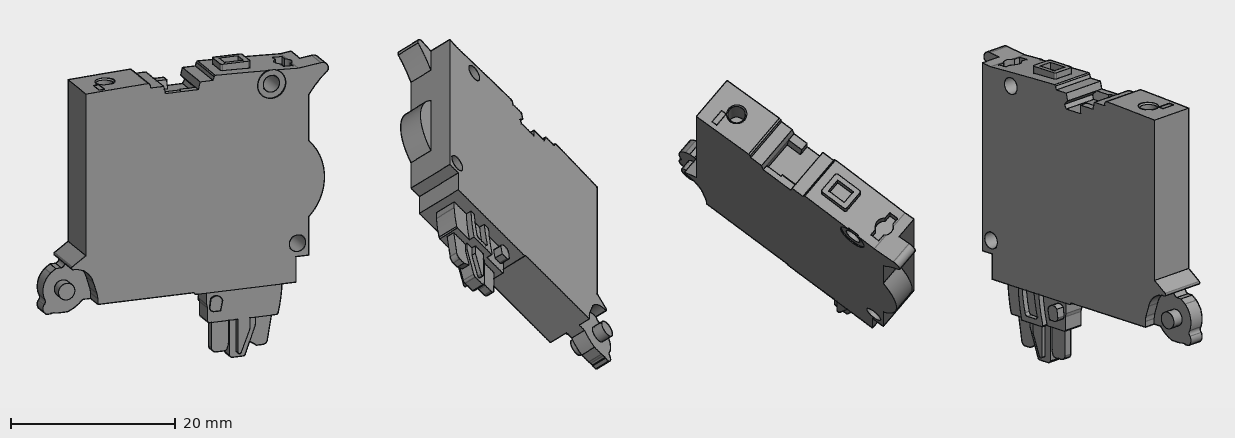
import cadquery as cq


WIDTH = 6.0
BACK_Y = 29.05
ROOF_Z = 27.37
ROOF_BACK = (27.65, 27.37)
RIDGE_Z = 27.75
FRONT_FLOOR_Z = 0.245
STEP_Z = 27.15
CHANNEL_Z = 26.2
CHANNEL_FRONT_Y = 10.4
CHANNEL_BACK_Y = 14.65

RECESS_Z = 25.1
LEFT_BLOCK_WIDTH = 1.33
RIGHT_BLOCK_WIDTH = 1.2
BLOCK_TAPER = 0.25
LEFT_BLOCK_BACK_Y = 12.45
RIGHT_BLOCK_FRONT_Y = 12.6
RIGHT_WALL = 0.7

CROSS_HOLE_R = 1.05
UPPER_HOLE = (24.2, 25.75)
LOWER_HOLE = (27.55, 4.97)
SEAT_R = 1.82
SEAT_DEPTH = 0.15

SLOT_CENTER = (WIDTH / 2, 26.8)
SLOT_SIZE = (3.7, 1.2)
SLOT_HOLE_R = 1.1
SLOT_DEPTH = 1.05

TEST_HOLE = (2.77, 3.7)
TEST_HOLE_R = 1.05
TEST_MOUTH_R = 1.25
TEST_MOUTH_Z = 27.55
TEST_DEPTH = 3.8
MARK_CENTER = (4.45, 2.3)
MARK_SIZE = (1.85, 0.72)
MARK_DEPTH = 0.1

TAB_X = 2.92
TAB_END_Y = 31.55
TAB_TOP = (30.6, 27.7)
TAB_SLOPE = (TAB_TOP[1] - ROOF_BACK[1]) / (TAB_TOP[0] - ROOF_BACK[0])
ROOF_BACK_EDGE_Z = ROOF_BACK[1] + TAB_SLOPE * (BACK_Y - ROOF_BACK[0])
DISC_CENTER = (24.3, 13.05)
DISC_R = 6.8

TONGUE_X = 1.55
TONGUE_WIDTH = 1.97
TONGUE_END_Y = -4.65
TONGUE_ROOT_Y = 3.05
TONGUE_ROOT_Z = 5.7
PIVOT = (-2.1, 2.0)
PIVOT_R = 1.05
PIVOT_X = 0.1
PIVOT_LENGTH = 4.82

BUTTON_CENTER = (WIDTH / 2, 20.08)
BUTTON_SIZE = (3.0, 3.85)
BUTTON_WINDOW = (1.8, 2.43)
BUTTON_CORNER_R = 0.23
BUTTON_TOP_Z = 28.5
BUTTON_SEAT_Z = 27.15
BUTTON_WINDOW_DEPTH = 0.95

PLUG_X = 1.55
PLUG_WIDTH = 2.75
PLUG_RIGHT_X = PLUG_X + PLUG_WIDTH
SHROUD_Z = -4.45
STRIP_X = 0.85
STRIP_POCKET_DEPTH = 0.72
LUG_X = 0.45
LUG_LENGTH = 4.02
MIDDLE_PRONG_X = 2.1
MIDDLE_PRONG_WIDTH = 1.6
OUTER_PRONG_X = 2.35
OUTER_PRONG_WIDTH = 1.02
PLUG_BOTTOM_Z = BUTTON_TOP_Z - 37.95


def side_outline(start_x, first_point):
    """Start a side outline on the plane X = start_x."""
    return cq.Workplane("YZ").workplane(offset=start_x).moveTo(*first_point)


def cross_cylinder(start_x, length, center, radius):
    return side_outline(start_x, center).circle(radius).extrude(length)


def roof_prism(center, size, top_z, depth):
    """Rectangular prism hanging down from top_z."""
    plane = cq.Workplane("XY").workplane(offset=top_z).center(*center)
    return plane.rect(*size).extrude(-depth)


def make_shell():
    """Full-width housing block with its roof channel and front nose."""
    return (
        side_outline(0, (27.37, 0))
        .lineTo(14.27, 0)
        .lineTo(14.1, FRONT_FLOOR_Z)
        .lineTo(1.55, FRONT_FLOOR_Z)
        .lineTo(1.55, 1.0)
        .threePointArc((1.5, 1.33), (1.45, 1.67))
        .lineTo(1.0, 3.1)
        .threePointArc((0.15, 4.45), (-1.7, 5.1))
        .threePointArc((-1.85, 5.28), (-1.8, 5.45))
        .lineTo(0, 6.68)
        .lineTo(0, ROOF_Z)
        .threePointArc((3.8, 27.55), (8.12, RIDGE_Z))
        .lineTo(8.35, 27.6)
        .lineTo(8.45, STEP_Z)
        .lineTo(10.15, STEP_Z)
        .lineTo(CHANNEL_FRONT_Y, CHANNEL_Z)
        .lineTo(CHANNEL_BACK_Y, CHANNEL_Z)
        .lineTo(14.88, STEP_Z)
        .lineTo(16.55, STEP_Z)
        .lineTo(16.7, 27.6)
        .lineTo(16.85, RIDGE_Z)
        .threePointArc((22, 27.6), ROOF_BACK)
        .lineTo(BACK_Y, ROOF_BACK_EDGE_Z)
        .lineTo(BACK_Y, 3.25)
        .lineTo(27.37, 3.25)
        .close()
        .extrude(WIDTH)
    )


def make_recess():
    """Recess below the roof channel, less the tapered blocks standing in it."""
    recess = (
        side_outline(0, (CHANNEL_FRONT_Y, CHANNEL_Z))
        .lineTo(CHANNEL_BACK_Y, CHANNEL_Z)
        .lineTo(15.2, 25.62)
        .lineTo(14.88, RECESS_Z)
        .lineTo(CHANNEL_FRONT_Y, RECESS_Z)
        .close()
        .extrude(WIDTH - RIGHT_WALL)
    )
    left_block = (
        cq.Workplane("XZ", origin=(0, LEFT_BLOCK_BACK_Y, 0))
        .moveTo(0, RECESS_Z)
        .lineTo(LEFT_BLOCK_WIDTH, RECESS_Z)
        .lineTo(LEFT_BLOCK_WIDTH - BLOCK_TAPER, CHANNEL_Z)
        .lineTo(0, CHANNEL_Z)
        .close()
        .extrude(LEFT_BLOCK_BACK_Y - CHANNEL_FRONT_Y)
    )
    right_block = (
        cq.Workplane("XZ", origin=(WIDTH, BACK_Y, 0))
        .moveTo(0, RECESS_Z)
        .lineTo(-RIGHT_BLOCK_WIDTH, RECESS_Z)
        .lineTo(BLOCK_TAPER - RIGHT_BLOCK_WIDTH, CHANNEL_Z)
        .lineTo(0, CHANNEL_Z)
        .close()
        .extrude(BACK_Y - RIGHT_BLOCK_FRONT_Y)
    )
    return recess.cut(left_block).cut(right_block)


def make_tab():
    """Hooked pull tab at the top of the back face."""
    return (
        side_outline(TAB_X, (BACK_Y, ROOF_BACK_EDGE_Z))
        .lineTo(*TAB_TOP)
        .threePointArc((31.35, 27.5), (TAB_END_Y, 26.65))
        .threePointArc((30.2, 25.35), (BACK_Y, 23.8))
        .close()
        .extrude(WIDTH - TAB_X)
    )


def make_grip_disc():
    """Part of a disc that stands out of the back face."""
    disc = cross_cylinder(TAB_X, WIDTH - TAB_X, DISC_CENTER, DISC_R)
    inside = cq.Workplane("XY").box(WIDTH, BACK_Y, ROOF_Z, centered=False)
    return disc.cut(inside)


def make_tongue():
    """Hinge tongue below the nose, with a pivot pin on both sides."""
    tongue = (
        side_outline(TONGUE_X, (TONGUE_ROOT_Y, FRONT_FLOOR_Z))
        .lineTo(0.55, FRONT_FLOOR_Z)
        .threePointArc((-0.2, -0.4), (-1.45, -1.1))
        .lineTo(-2.8, -1.1)
        .lineTo(-3.2, -1.02)
        .lineTo(-3.53, -1.02)
        .lineTo(-3.6, -1.1)
        .lineTo(-4.18, -1.1)
        .threePointArc((TONGUE_END_Y, -0.45), (-4.48, 0.2))
        .threePointArc((-4.33, 0.55), (-4.45, 0.9))
        .threePointArc((TONGUE_END_Y, 2.0), (-3.65, 4.15))
        .lineTo(-2.95, 4.65)
        .lineTo(-2.25, 4.65)
        .threePointArc((-1.95, 4.82), (-1.8, 5.12))
        .lineTo(0, TONGUE_ROOT_Z)
        .lineTo(TONGUE_ROOT_Y, TONGUE_ROOT_Z)
        .close()
        .extrude(TONGUE_WIDTH)
    )
    return tongue.union(cross_cylinder(PIVOT_X, PIVOT_LENGTH, PIVOT, PIVOT_R))


def make_slot():
    slot = roof_prism(SLOT_CENTER, SLOT_SIZE, RIDGE_Z, RIDGE_Z - ROOF_Z + SLOT_DEPTH)
    hole = (
        cq.Workplane("XY")
        .workplane(offset=ROOF_Z - SLOT_DEPTH)
        .center(*SLOT_CENTER)
        .circle(SLOT_HOLE_R)
        .extrude(SLOT_DEPTH + RIDGE_Z - ROOF_Z)
    )
    return slot.union(hole)


def make_test_hole():
    """Round hole with a chamfered mouth in the front of the roof."""
    plane = cq.Workplane("XY").workplane(offset=TEST_MOUTH_Z).center(*TEST_HOLE)
    mouth = TEST_MOUTH_R - TEST_HOLE_R
    hole = plane.circle(TEST_HOLE_R).extrude(-TEST_DEPTH)
    chamfer = plane.circle(TEST_MOUTH_R).workplane(offset=-mouth).circle(TEST_HOLE_R).loft()
    above = plane.circle(TEST_MOUTH_R).extrude(RIDGE_Z - TEST_MOUTH_Z)
    return hole.union(chamfer).union(above)


def make_button_blank():
    """Outer block of the button, which also shapes its seat in the roof."""
    height = BUTTON_TOP_Z - BUTTON_SEAT_Z
    blank = roof_prism(BUTTON_CENTER, BUTTON_SIZE, BUTTON_TOP_Z, height)
    return blank.edges("|Z").fillet(BUTTON_CORNER_R)


def make_housing():
    housing = make_shell().union(make_tab()).union(make_grip_disc()).union(make_tongue())
    for center in (UPPER_HOLE, LOWER_HOLE):
        housing = housing.cut(cross_cylinder(0, WIDTH, center, CROSS_HOLE_R))
    housing = housing.cut(cross_cylinder(WIDTH - SEAT_DEPTH, SEAT_DEPTH, UPPER_HOLE, SEAT_R))
    housing = housing.cut(make_recess()).cut(make_slot()).cut(make_test_hole())
    housing = housing.cut(roof_prism(MARK_CENTER, MARK_SIZE, RIDGE_Z, RIDGE_Z - TEST_MOUTH_Z + MARK_DEPTH))
    return housing.cut(make_button_blank())


def make_button():
    window = roof_prism(BUTTON_CENTER, BUTTON_WINDOW, BUTTON_TOP_Z, BUTTON_WINDOW_DEPTH)
    return make_button_blank().cut(window)


def make_shroud():
    """Upper block of the plug, with its raised strip and latch lugs."""
    block = (
        side_outline(PLUG_X, (26.2, 0))
        .lineTo(26.2, -1.15)
        .threePointArc((26.0, -2.75), (25.7, -4.3))
        .lineTo(25.55, SHROUD_Z)
        .lineTo(16.63, SHROUD_Z)
        .lineTo(16.5, -4.3)
        .lineTo(16.5, -2.55)
        .lineTo(16.4, -2.1)
        .lineTo(16.4, 0)
        .close()
        .extrude(PLUG_WIDTH)
    )
    strip = (
        side_outline(STRIP_X, (23.8, 0))
        .threePointArc((23.6, -2.2), (23.2, SHROUD_Z))
        .lineTo(19.7, SHROUD_Z)
        .lineTo(19.63, -4.3)
        .threePointArc((20.08, -2.2), (20.35, 0))
        .close()
        .extrude(PLUG_RIGHT_X - STRIP_X)
    )
    pocket = (
        side_outline(STRIP_X, (23.1, 0))
        .threePointArc((22.95, -1.67), (22.62, -3.35))
        .threePointArc((22.5, -3.6), (22.25, -3.72))
        .lineTo(20.8, -3.72)
        .lineTo(20.57, -3.4)
        .threePointArc((20.9, -1.75), (21.2, 0))
        .close()
        .extrude(STRIP_POCKET_DEPTH)
    )
    lug = (
        side_outline(LUG_X, (18.4, -1.75))
        .threePointArc((17.55, -1.05), (16.9, -1.35))
        .lineTo(16.75, -2.45)
        .threePointArc((16.9, -2.85), (17.25, -3.05))
        .lineTo(18.15, -3.05)
        .close()
        .extrude(LUG_LENGTH)
    )
    return block.union(strip).cut(pocket).union(lug)


def make_outer_prongs():
    """Thin prongs at the back and the front of the plug."""
    back = (
        side_outline(OUTER_PRONG_X, (25.25, SHROUD_Z))
        .lineTo(24.67, -7.75)
        .threePointArc((24.5, -8.2), (24.05, -8.4))
        .lineTo(23.25, -8.4)
        .lineTo(22.2, -7.7)
        .lineTo(22.2, SHROUD_Z)
        .close()
        .extrude(OUTER_PRONG_WIDTH)
    )
    front = (
        side_outline(OUTER_PRONG_X, (19.6, SHROUD_Z))
        .lineTo(19.6, -7.75)
        .lineTo(19.45, -8.25)
        .threePointArc((19.3, -8.5), (19.0, -8.6))
        .lineTo(17.95, -8.6)
        .threePointArc((17.55, -8.43), (17.35, -8.0))
        .lineTo(17.35, SHROUD_Z)
        .close()
        .extrude(OUTER_PRONG_WIDTH)
    )
    return back.union(front)


def make_middle_prong():
    """Long tapered prong with a wider rib across it."""
    prong = (
        side_outline(MIDDLE_PRONG_X, (22.95, SHROUD_Z))
        .lineTo(22.95, -5.65)
        .lineTo(21.68, -9.2)
        .threePointArc((21.55, -9.38), (21.37, PLUG_BOTTOM_Z))
        .lineTo(19.9, PLUG_BOTTOM_Z)
        .threePointArc((19.7, -9.35), (19.6, -9.15))
        .lineTo(19.6, SHROUD_Z)
        .close()
        .extrude(MIDDLE_PRONG_WIDTH)
    )
    rib = (
        side_outline(PLUG_X, (22, SHROUD_Z))
        .lineTo(22, -5.9)
        .lineTo(20.88, -8.75)
        .threePointArc((20.65, -8.9), (20.45, -8.7))
        .lineTo(20.45, SHROUD_Z)
        .close()
        .extrude(PLUG_WIDTH)
    )
    return prong.union(rib)


def make_plug():
    return make_shroud().union(make_outer_prongs()).union(make_middle_prong())


housing = make_housing()
button = make_button()
plug = make_plug()

result = cq.Compound.makeCompound([housing.val(), button.val(), plug.val()])